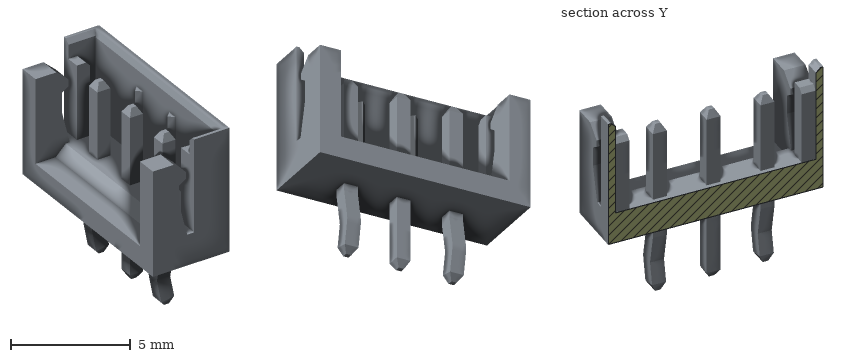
import cadquery as cq
import math

body_length = 10.0
body_depth = 3.8
body_height = 6.0
back_y = 1.59
front_y = back_y - body_depth

side_wall_depth = 1.75
side_wall_end_y = back_y - side_wall_depth
back_wall = 0.4
side_wall = 0.35
floor_z = 1.5
cavity_back_y = back_y - back_wall
cavity_half = body_length / 2 - side_wall

back_bevel_run = 0.12
back_bevel_drop = 0.28
side_bevel = 0.21

finger_width = 1.0
finger_height = 5.1
finger_top_depth = 1.03
finger_nose_depth = 1.64
finger_waist_depth = 1.3
finger_root_depth = 1.7
nose_top_z = 4.55
nose_bottom_z = 4.23
waist_top_z = 4.01
waist_bottom_z = 3.1

window_half = body_length / 2 - finger_width
sill_z = 1.0
sill_depth = 1.0
ramp_top_depth = 1.5

guide_back_depth = 1.09
guide_flat_depth = 1.3
guide_height = 5.1
guide_slope_drop = guide_flat_depth - guide_back_depth

key_half_width = 0.25
key_height = 4.9

pin_count = 3
pin_pitch = 2.5
pin_width = 0.65
pin_tip_width = 0.25
pin_taper = 0.34
pin_top_z = 5.1
pin_bottom_z = -3.21

kink_tilt = math.radians(11)
kink_start_z = -0.37
kink_knee_z = -1.78
kink_end_z = -2.86
knee_radius = 0.73


def extrude_along_x(points, half_length):
    """Extrude a closed (y, z) outline symmetrically about x = 0."""
    return cq.Workplane("YZ").polyline(points).close().extrude(half_length, both=True)


def make_housing_block():
    """Full-length block whose side profile has the shroud and the hooked fingers."""
    outline = [
        (front_y, 0),
        (back_y, 0),
        (back_y, body_height),
        (side_wall_end_y, body_height),
        (side_wall_end_y, floor_z),
        (front_y + finger_root_depth, floor_z),
        (front_y + finger_waist_depth, waist_bottom_z),
        (front_y + finger_waist_depth, waist_top_z),
        (front_y + finger_nose_depth, nose_bottom_z),
        (front_y + finger_nose_depth, nose_top_z),
        (front_y + finger_top_depth, finger_height),
        (front_y, finger_height),
    ]
    return extrude_along_x(outline, body_length / 2)


def make_cavity():
    """Cavity inside the shroud, flared at the mouth by the lead-in bevels."""
    side_profile = [
        (side_wall_end_y, floor_z),
        (cavity_back_y, floor_z),
        (cavity_back_y, body_height - back_bevel_drop),
        (cavity_back_y + back_bevel_run, body_height),
        (side_wall_end_y, body_height),
    ]
    front_profile = [
        (-cavity_half, floor_z),
        (cavity_half, floor_z),
        (cavity_half, body_height - side_bevel),
        (cavity_half + side_bevel, body_height),
        (-cavity_half - side_bevel, body_height),
        (-cavity_half, body_height - side_bevel),
    ]
    flared_sides = cq.Workplane("XZ").polyline(front_profile).close().extrude(body_depth, both=True)
    return extrude_along_x(side_profile, body_length / 2).intersect(flared_sides)


def make_window():
    """Opening between the fingers, down to the ramp and sill."""
    outline = [
        (front_y, sill_z),
        (front_y + sill_depth, sill_z),
        (front_y + ramp_top_depth, floor_z),
        (side_wall_end_y, floor_z),
        (side_wall_end_y, body_height),
        (front_y, body_height),
    ]
    return extrude_along_x(outline, window_half)


def make_guide_ribs():
    """Rib on each side wall, flush with its front end and sloped at the back."""
    outline = [
        (side_wall_end_y, 0),
        (back_y - guide_back_depth, 0),
        (back_y - guide_back_depth, guide_height - guide_slope_drop),
        (back_y - guide_flat_depth, guide_height),
        (side_wall_end_y, guide_height),
    ]
    across_shroud = extrude_along_x(outline, cavity_half)
    return across_shroud.cut(extrude_along_x(outline, window_half))


def make_key_rib(x):
    """Triangular rib with 45 degree flanks on the back wall."""
    outline = [
        (x - key_half_width, cavity_back_y),
        (x, cavity_back_y - key_half_width),
        (x + key_half_width, cavity_back_y),
    ]
    return cq.Workplane("XY").polyline(outline).close().extrude(key_height)


def make_tip(base_plane, tip_z):
    """Taper from a full-width square on base_plane to a small level square at tip_z."""
    base = cq.Workplane(base_plane).rect(pin_width, pin_width).wires().val()
    end = cq.Workplane("XY").workplane(offset=tip_z).rect(pin_tip_width, pin_tip_width).wires().val()
    return cq.Workplane(cq.Solid.makeLoft([base, end], True))


def make_shank(bottom_z):
    """Straight pin with its upper tip, from bottom_z upwards."""
    shoulder_z = pin_top_z - pin_taper
    shank = (
        cq.Workplane("XY")
        .workplane(offset=bottom_z)
        .rect(pin_width, pin_width)
        .extrude(shoulder_z - bottom_z)
    )
    return shank.union(make_tip(cq.Plane((0, 0, shoulder_z)), pin_top_z))


def make_straight_pin():
    shoulder_z = pin_bottom_z + pin_taper
    return make_shank(shoulder_z).union(make_tip(cq.Plane((0, 0, shoulder_z)), pin_bottom_z))


def make_kinked_pin():
    """Pin whose tail leans to the front, then returns below a rounded knee."""
    half = pin_width / 2
    knee_y = (kink_knee_z - kink_start_z) * math.tan(kink_tilt)
    end_y = knee_y + (kink_knee_z - kink_end_z) * math.tan(kink_tilt)
    start_mitre = half * math.tan(kink_tilt / 2)
    knee_half = half / math.cos(kink_tilt)
    end_run = half * math.cos(kink_tilt)
    end_rise = half * math.sin(kink_tilt)
    outline = [
        (-half, 0),
        (-half, kink_start_z + start_mitre),
        (knee_y - knee_half, kink_knee_z),
        (end_y - end_run, kink_end_z - end_rise),
        (end_y + end_run, kink_end_z + end_rise),
        (knee_y + knee_half, kink_knee_z),
        (half, kink_start_z - start_mitre),
        (half, 0),
    ]
    tail = extrude_along_x(outline, half)
    knee_edge = cq.selectors.NearestToPointSelector((0, knee_y - knee_half, kink_knee_z))
    tail = tail.edges(knee_edge).fillet(knee_radius)
    end_plane = cq.Plane(
        origin=(0, end_y, kink_end_z),
        xDir=(1, 0, 0),
        normal=(0, -math.sin(kink_tilt), math.cos(kink_tilt)),
    )
    return make_shank(0).union(tail).union(make_tip(end_plane, pin_bottom_z))


result = make_housing_block().cut(make_cavity()).cut(make_window()).union(make_guide_ribs())

first_pin_x = -pin_pitch * (pin_count - 1) / 2
for gap in range(pin_count - 1):
    result = result.union(make_key_rib(first_pin_x + (gap + 0.5) * pin_pitch))

for index in range(pin_count):
    is_outer = index in (0, pin_count - 1)
    pin = make_kinked_pin() if is_outer else make_straight_pin()
    result = result.union(pin.translate((first_pin_x + index * pin_pitch, 0, 0)))